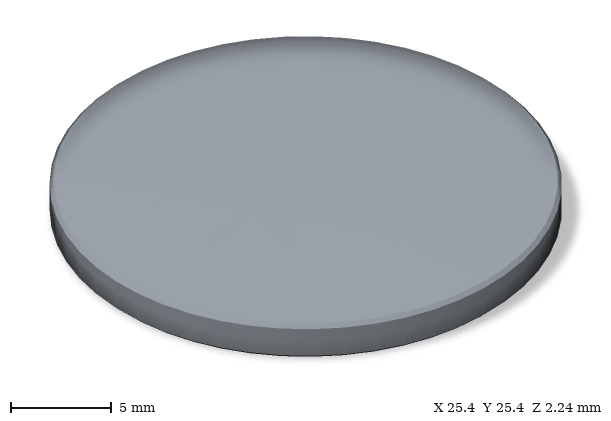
import cadquery as cq

diameter = 25.4
centre_thickness = 2.24
dome_rise = 0.23
bevel = 0.2

rim_radius = diameter / 2
face_radius = rim_radius - bevel
dome_edge_height = centre_thickness - dome_rise
sphere_radius = (face_radius**2 + dome_rise**2) / (2 * dome_rise)
mid_radius = face_radius / 2
mid_drop = sphere_radius - (sphere_radius**2 - mid_radius**2) ** 0.5

half_section = (
    cq.Workplane("YZ")
    .moveTo(0, 0)
    .lineTo(-face_radius, 0)
    .lineTo(-rim_radius, bevel)
    .lineTo(-rim_radius, dome_edge_height - bevel)
    .lineTo(-face_radius, dome_edge_height)
    .threePointArc((-mid_radius, centre_thickness - mid_drop), (0, centre_thickness))
    .close()
)

result = half_section.revolve(360, (0, 0, 0), (0, 1, 0))